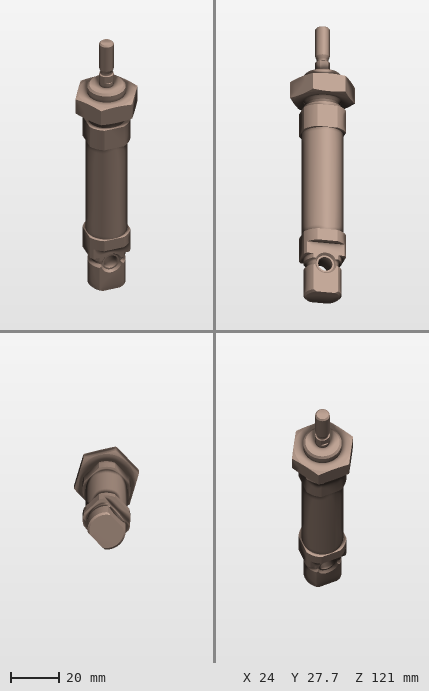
import cadquery as cq
import math


THREAD_DIA = 16.0
NECK_DIA = 13.7
TUBE_DIA = 17.3
COLLAR_DIA = 20.0
COLLAR_FLATS = 18.0
TONGUE_WIDTH = 12.0
END_CHAMFER = 0.8

BASE_NECK_TAPER_START = 12.0
BASE_NECK_TOP = 15.1
BASE_COLLAR_BOTTOM = 17.1
TONGUE_TOP = 22.1
BASE_COLLAR_TOP = 27.2
HEAD_COLLAR_BOTTOM = 73.2
HEAD_COLLAR_TOP = 83.1
HEAD_NECK_BOTTOM = 85.1
HEAD_NECK_TOP = 86.6
HEAD_TOP = 100.0

NECK_FILLET = 0.8
RUNOUT_ANGLE = 30

PIVOT_LEVEL = 13.2
PIVOT_DIA = 6.0
PIVOT_FLOOR_DIA = 7.5
PIVOT_MOUTH_DIA = 9.2
PIVOT_RECESS_DEPTH = 1.1

ROD_DIA = 6.0
ROD_TOP = 121.0
ROD_CHAMFER = 0.6
ROD_NECK_DIA = 4.8
ROD_THREAD_BOTTOM = 108.2
ROD_NECK_TOP = 106.6
ROD_SHOULDER = 105.4
ROD_NECK_FILLET = 0.5
ROD_FLATS = 5.0
ROD_FLATS_BOTTOM = 101.9

NUT_FLATS = 24.0
NUT_BOTTOM = 88.0
NUT_HEIGHT = 8.1
NUT_FACE_DIA = 23.7
NUT_CHAMFER_ANGLE = 15


def cylinder(diameter, bottom, top):
    return cq.Workplane("XY").workplane(offset=bottom).circle(diameter / 2).extrude(top - bottom)


def neck_fillet(profile, neck, shoulder, radius, direction):
    """Run along a neck wall and round into its shoulder; direction is 1 going up, -1 going down."""
    reach = radius * (1 - math.sqrt(0.5))
    return profile.lineTo(neck, shoulder - direction * radius).threePointArc(
        (neck + reach, shoulder - direction * reach), (neck + radius, shoulder)
    )


def make_collar(bottom, top):
    """Round collar with four flats."""
    blank = cq.Workplane("XY").workplane(offset=bottom).rect(COLLAR_FLATS, COLLAR_FLATS)
    return blank.extrude(top - bottom).intersect(cylinder(COLLAR_DIA, bottom, top))


def make_base():
    """Threaded lower end with an undercut below the collar."""
    outer = THREAD_DIA / 2
    neck = NECK_DIA / 2
    taper_end = BASE_NECK_TAPER_START + outer - neck
    profile = (
        cq.Workplane("XZ")
        .lineTo(outer - END_CHAMFER, 0)
        .lineTo(outer, END_CHAMFER)
        .lineTo(outer, BASE_NECK_TAPER_START)
        .lineTo(neck, taper_end)
    )
    profile = neck_fillet(profile, neck, BASE_NECK_TOP, NECK_FILLET, 1)
    return (
        profile.lineTo(outer, BASE_NECK_TOP)
        .lineTo(outer, BASE_COLLAR_BOTTOM)
        .lineTo(0, BASE_COLLAR_BOTTOM)
        .close()
        .revolve(360, (0, 0), (0, 1))
    )


def make_head():
    """Threaded upper end with an undercut above the collar."""
    outer = THREAD_DIA / 2
    neck = NECK_DIA / 2
    runout = (outer - neck) / math.tan(math.radians(RUNOUT_ANGLE))
    profile = (
        cq.Workplane("XZ")
        .moveTo(0, HEAD_COLLAR_TOP)
        .lineTo(0, HEAD_TOP)
        .lineTo(outer - END_CHAMFER, HEAD_TOP)
        .lineTo(outer, HEAD_TOP - END_CHAMFER)
        .lineTo(outer, HEAD_NECK_TOP + runout)
        .lineTo(neck, HEAD_NECK_TOP)
    )
    profile = neck_fillet(profile, neck, HEAD_NECK_BOTTOM, NECK_FILLET, -1)
    return (
        profile.lineTo(outer, HEAD_NECK_BOTTOM)
        .lineTo(outer, HEAD_COLLAR_TOP)
        .close()
        .revolve(360, (0, 0), (0, 1))
    )


def tongue_cuts():
    """Blocks that leave the flat tongue at the lower end, one on each X side."""
    side = (COLLAR_DIA - TONGUE_WIDTH) / 2
    centre = (TONGUE_WIDTH + side) / 2
    return (
        cq.Workplane("XY")
        .pushPoints([(-centre, 0), (centre, 0)])
        .rect(side, COLLAR_DIA)
        .extrude(TONGUE_TOP)
    )


def pivot_hole():
    """Through hole along X with a conical, flat-floored recess at each face of the tongue."""
    face = TONGUE_WIDTH / 2
    floor = face - PIVOT_RECESS_DEPTH
    half_profile = (
        cq.Workplane("XY")
        .lineTo(0, PIVOT_DIA / 2)
        .lineTo(floor, PIVOT_DIA / 2)
        .lineTo(floor, PIVOT_FLOOR_DIA / 2)
        .lineTo(face, PIVOT_MOUTH_DIA / 2)
        .lineTo(face, 0)
        .close()
    )
    half = half_profile.revolve(360, (0, 0), (1, 0))
    return half.union(half.mirror("YZ")).translate((0, 0, PIVOT_LEVEL))


def make_housing():
    return (
        make_base()
        .union(make_collar(BASE_COLLAR_BOTTOM, BASE_COLLAR_TOP))
        .union(cylinder(TUBE_DIA, BASE_COLLAR_TOP, HEAD_COLLAR_BOTTOM))
        .union(make_collar(HEAD_COLLAR_BOTTOM, HEAD_COLLAR_TOP))
        .union(make_head())
        .cut(tongue_cuts())
        .cut(pivot_hole())
        .cut(cylinder(ROD_DIA, HEAD_COLLAR_BOTTOM, HEAD_TOP))
    )


def make_rod():
    """Rod with a threaded tip, an undercut and two wrench flats facing X."""
    outer = ROD_DIA / 2
    neck = ROD_NECK_DIA / 2
    profile = (
        cq.Workplane("XZ")
        .moveTo(0, HEAD_COLLAR_BOTTOM)
        .lineTo(0, ROD_TOP)
        .lineTo(outer - ROD_CHAMFER, ROD_TOP)
        .lineTo(outer, ROD_TOP - ROD_CHAMFER)
        .lineTo(outer, ROD_THREAD_BOTTOM)
        .lineTo(neck, ROD_NECK_TOP)
    )
    profile = neck_fillet(profile, neck, ROD_SHOULDER, ROD_NECK_FILLET, -1)
    rod = (
        profile.lineTo(outer, ROD_SHOULDER)
        .lineTo(outer, HEAD_COLLAR_BOTTOM)
        .close()
        .revolve(360, (0, 0), (0, 1))
    )
    flat_depth = (ROD_DIA - ROD_FLATS) / 2
    flat_centre = (ROD_FLATS + flat_depth) / 2
    flats = (
        cq.Workplane("XY")
        .workplane(offset=ROD_FLATS_BOTTOM)
        .pushPoints([(-flat_centre, 0), (flat_centre, 0)])
        .rect(flat_depth, ROD_DIA)
        .extrude(ROD_SHOULDER - ROD_FLATS_BOTTOM)
    )
    return rod.cut(flats)


def make_nut():
    """Hexagon nut with corners along Y, chamfered on both faces."""
    corner_dia = NUT_FLATS / math.cos(math.radians(30))
    corner = corner_dia / 2
    face = NUT_FACE_DIA / 2
    drop = (corner - face) * math.tan(math.radians(NUT_CHAMFER_ANGLE))
    envelope = (
        cq.Workplane("XZ")
        .lineTo(face, 0)
        .lineTo(corner, drop)
        .lineTo(corner, NUT_HEIGHT - drop)
        .lineTo(face, NUT_HEIGHT)
        .lineTo(0, NUT_HEIGHT)
        .close()
        .revolve(360, (0, 0), (0, 1))
    )
    hexagon = cq.Workplane("XY").polygon(6, corner_dia).extrude(NUT_HEIGHT)
    nut = hexagon.rotate((0, 0, 0), (0, 0, 1), 90).intersect(envelope)
    return nut.cut(cylinder(THREAD_DIA, 0, NUT_HEIGHT)).translate((0, 0, NUT_BOTTOM))


housing = make_housing()
rod = make_rod()
nut = make_nut()

result = cq.Compound.makeCompound([housing.val(), rod.val(), nut.val()])